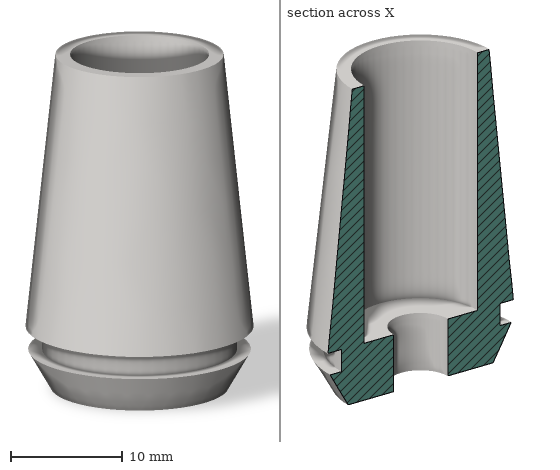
import cadquery as cq

total_height = 31.0
body_base_diameter = 20.5
body_top_diameter = 15.13

nose_height = 3.5
groove_height = 2.15
nose_tip_diameter = 16.0
nose_rim_diameter = 20.03
groove_diameter = 17.5

bore_diameter = 12.5
hole_diameter = 5.95
floor_thickness = nose_height + groove_height

body_base_z = nose_height + groove_height


def make_outer_body():
    """Revolve the nose, groove and tapered body about Z."""
    half_profile = (
        cq.Workplane("XZ")
        .lineTo(nose_tip_diameter / 2, 0)
        .lineTo(nose_rim_diameter / 2, nose_height)
        .lineTo(groove_diameter / 2, nose_height)
        .lineTo(groove_diameter / 2, body_base_z)
        .lineTo(body_base_diameter / 2, body_base_z)
        .lineTo(body_top_diameter / 2, total_height)
        .lineTo(0, total_height)
        .close()
    )
    return half_profile.revolve(360, (0, 0, 0), (0, 1, 0))


def make_stepped_bore():
    """Wide blind bore from the top joined to a through hole in its floor."""
    through_hole = cq.Workplane("XY").circle(hole_diameter / 2).extrude(total_height)
    wide_bore = (
        cq.Workplane("XY")
        .workplane(offset=floor_thickness)
        .circle(bore_diameter / 2)
        .extrude(total_height - floor_thickness)
    )
    return through_hole.union(wide_bore)


result = make_outer_body().cut(make_stepped_bore())